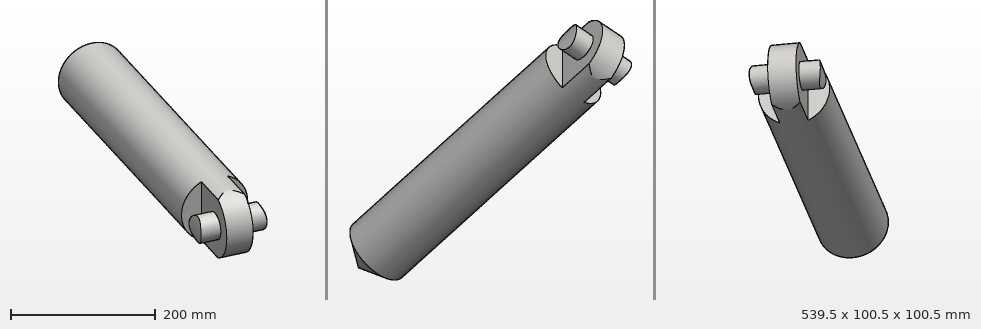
import cadquery as cq

total_length = 539.5
body_diameter = 100.5
tip_length = 40.0
shoulder_x = 454.0
tang_thickness = 40.0
tang_end_radius = 51.0
pin_x = 499.5
pin_diameter = 40.0

body_radius = body_diameter / 2
tang_length = total_length - shoulder_x
tang_end_center_x = total_length - tang_end_radius


def pointed_bar():
    """Full-length round bar along X with a conical point at the origin."""
    half_profile = (
        cq.Workplane("XY")
        .polyline([
            (0, 0),
            (tip_length, body_radius),
            (total_length, body_radius),
            (total_length, 0),
        ])
        .close()
    )
    return half_profile.revolve(360, (0, 0, 0), (1, 0, 0))


def cylinder_along_y(center_x, radius):
    """Cross cylinder on the bar axis, as long as the bar is wide."""
    return (
        cq.Workplane("XZ")
        .center(center_x, 0)
        .circle(radius)
        .extrude(body_radius, both=True)
    )


bar = pointed_bar()

body = bar.intersect(
    cq.Workplane("XY").box(shoulder_x, body_diameter, body_diameter, centered=(False, True, True))
)

tang_slab = (
    cq.Workplane("XY")
    .box(tang_length, tang_thickness, body_diameter, centered=(False, True, True))
    .translate((shoulder_x, 0, 0))
)
straight_length = tang_end_center_x - shoulder_x
tang_outline = (
    cq.Workplane("XY")
    .box(straight_length, body_diameter, body_diameter, centered=(False, True, True))
    .translate((shoulder_x, 0, 0))
    .union(cylinder_along_y(tang_end_center_x, tang_end_radius))
)
tang = bar.intersect(tang_slab).intersect(tang_outline)

pin = bar.intersect(cylinder_along_y(pin_x, pin_diameter / 2))

result = body.union(tang).union(pin)